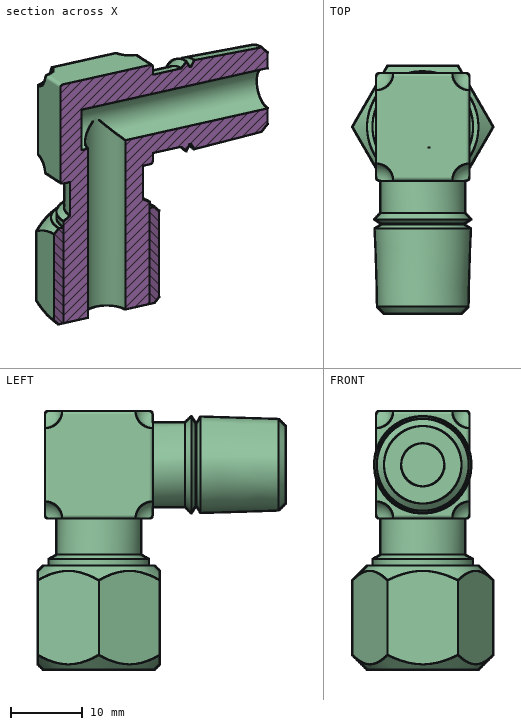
import cadquery as cq
import math


nut_across_flats = 17.0
nut_height = 14.5
nut_end_radius = 7.75
nut_corner_radius = nut_across_flats / math.sqrt(3)
nut_chamfer = nut_corner_radius - nut_end_radius

block_width = 13.0
block_length = 15.0
block_bottom = 21.0
block_edge_radius = 0.5
corner_scoop_radius = 2.4
stud_axis_height = block_bottom + block_length / 2

neck_radius = 5.93
passage_radius = 3.0
passage_overrun = 1.0

spigot_radius = 7.0
spigot_cone_top = 16.0
spigot_cone_angle = 30.0
spigot_cone_height = (spigot_radius - neck_radius) * math.tan(math.radians(spigot_cone_angle))
spigot_cone_bottom = spigot_cone_top - spigot_cone_height

stud_tip = 26.0
tip_chamfer = 1.0
ring_start = 12.0
ring_crest = 12.87
ring_crest_radius = 6.78
groove_start = 13.45
groove_end = 13.6
groove_radius = 5.85
thread_start = 14.13
thread_start_radius = 6.73
thread_taper = 1 / 16
thread_end = stud_tip - tip_chamfer
thread_end_radius = thread_start_radius - (thread_end - thread_start) * thread_taper / 2


def make_block():
    """Rounded block with a spherical scoop at each of its eight corners."""
    block = cq.Workplane("XY").box(block_width, block_length, block_length).edges().fillet(block_edge_radius)
    corners = cq.Workplane("XY").box(block_width, block_length, block_length).vertices()
    scoops = corners.eachpoint(cq.Solid.makeSphere(corner_scoop_radius, angleDegrees1=-90), combine=False)
    for scoop in scoops.vals():
        block = block.cut(cq.Workplane(scoop))
    return block.translate((0, 0, stud_axis_height))


def make_stud():
    """Neck, sharp ring, relief groove and tapered end, revolved about the stud axis."""
    profile = [
        (0, 0),
        (neck_radius, 0),
        (neck_radius, ring_start),
        (ring_crest_radius, ring_crest),
        (groove_radius, groove_start),
        (groove_radius, groove_end),
        (thread_start_radius, thread_start),
        (thread_end_radius, thread_end),
        (thread_end_radius - tip_chamfer, stud_tip),
        (0, stud_tip),
    ]
    points = [(-distance, radius) for radius, distance in profile]
    stud = cq.Workplane("YZ").polyline(points).close().revolve(360, (0, 0, 0), (1, 0, 0))
    return stud.translate((0, 0, stud_axis_height))


def make_spigot():
    """Lower neck that widens through a cone to the spigot inside the nut."""
    profile = [
        (0, 0),
        (spigot_radius, 0),
        (spigot_radius, spigot_cone_bottom),
        (neck_radius, spigot_cone_top),
        (neck_radius, stud_axis_height),
        (0, stud_axis_height),
    ]
    return cq.Workplane("XZ").polyline(profile).close().revolve(360, (0, 0, 0), (0, 1, 0))


def make_elbow():
    """Block, stud and spigot in one piece, with the passage turning the corner inside the block."""
    stud_bore_end = passage_radius + passage_overrun
    stud_bore = (
        cq.Workplane("XZ", origin=(0, stud_bore_end, stud_axis_height))
        .circle(passage_radius)
        .extrude(stud_tip + stud_bore_end)
    )
    spigot_bore = cq.Workplane("XY").circle(passage_radius).extrude(stud_axis_height)
    solid_elbow = make_block().union(make_stud()).union(make_spigot())
    return solid_elbow.cut(stud_bore).cut(spigot_bore)


def make_nut():
    """Hexagon with corners toward +X and -X, turned to 45 degrees at both ends and bored for the spigot."""
    hexagon = cq.Workplane("XY").polygon(6, 2 * nut_corner_radius).extrude(nut_height)
    turned_blank = cq.Workplane("XY").circle(nut_corner_radius).extrude(nut_height).edges().chamfer(nut_chamfer)
    bore = cq.Workplane("XY").circle(spigot_radius).extrude(nut_height)
    return hexagon.intersect(turned_blank).cut(bore)


elbow = make_elbow()
nut = make_nut()

result = cq.Compound.makeCompound([*elbow.solids().vals(), *nut.solids().vals()])